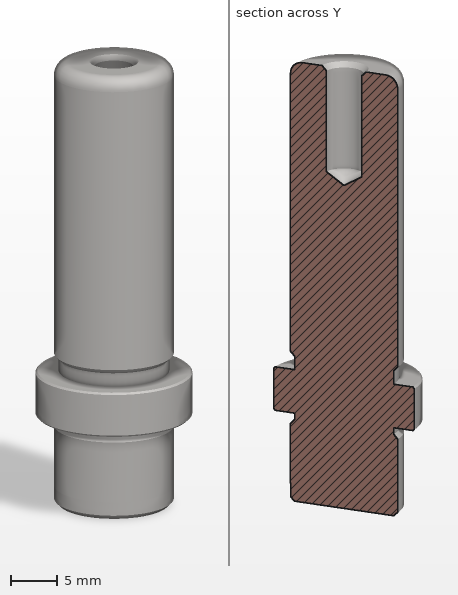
import cadquery as cq
import math

total_height = 50.0
body_radius = 6.5
top_round = 1.5

flange_radius = 8.5
flange_bottom = 10.0
flange_height = 5.0
flange_top = flange_bottom + flange_height
flange_chamfer = 0.2

groove_radius = 6.0
upper_groove_height = 1.5
lower_groove_height = 0.7
groove_chamfer = 0.5

lead_height = 2.0
lead_clearance = 0.01
lead_radius = body_radius - lead_clearance
bottom_chamfer = 0.5

hole_radius = 2.1
hole_mouth_radius = 2.65
hole_depth = 12.0
drill_point_angle = 118.0


def make_pin():
    """Revolve the outer half profile, listed from the bottom upward, about Z."""
    lower_groove_bottom = flange_bottom - lower_groove_height
    upper_groove_top = flange_top + upper_groove_height
    round_start = total_height - top_round
    round_offset = top_round * math.sqrt(0.5)
    round_middle = (body_radius - top_round + round_offset, round_start + round_offset)
    return (
        cq.Workplane("XZ")
        .moveTo(0, 0)
        .lineTo(lead_radius - bottom_chamfer, 0)
        .lineTo(lead_radius, bottom_chamfer)
        .lineTo(lead_radius, lead_height)
        .lineTo(body_radius, lead_height)
        .lineTo(body_radius, lower_groove_bottom - groove_chamfer)
        .lineTo(groove_radius, lower_groove_bottom)
        .lineTo(groove_radius, flange_bottom)
        .lineTo(flange_radius - flange_chamfer, flange_bottom)
        .lineTo(flange_radius, flange_bottom + flange_chamfer)
        .lineTo(flange_radius, flange_top - flange_chamfer)
        .lineTo(flange_radius - flange_chamfer, flange_top)
        .lineTo(groove_radius, flange_top)
        .lineTo(groove_radius, upper_groove_top)
        .lineTo(body_radius, upper_groove_top + groove_chamfer)
        .lineTo(body_radius, round_start)
        .threePointArc(round_middle, (body_radius - top_round, total_height))
        .lineTo(0, total_height)
        .close()
        .revolve(360, (0, 0, 0), (0, 1, 0))
    )


def make_hole():
    """Blind hole with a countersunk mouth and a conical drill point."""
    mouth_depth = hole_mouth_radius - hole_radius
    floor = total_height - hole_depth
    point_depth = hole_radius / math.tan(math.radians(drill_point_angle / 2))
    return (
        cq.Workplane("XZ")
        .moveTo(0, total_height)
        .lineTo(hole_mouth_radius, total_height)
        .lineTo(hole_radius, total_height - mouth_depth)
        .lineTo(hole_radius, floor)
        .lineTo(0, floor - point_depth)
        .close()
        .revolve(360, (0, 0, 0), (0, 1, 0))
    )


result = make_pin().cut(make_hole())